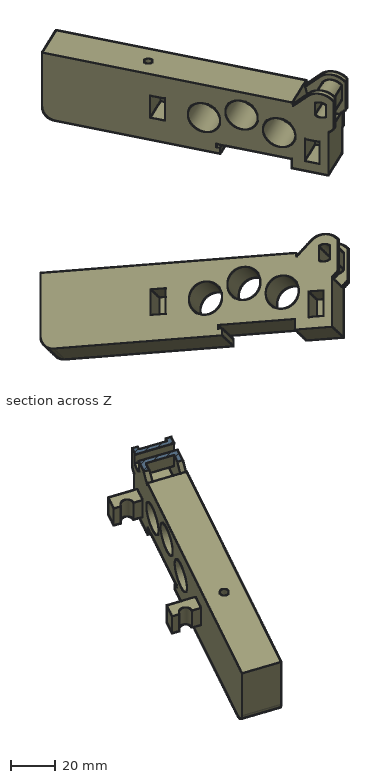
import cadquery as cq
import math

body_length = 137.0
body_height = 36.0
body_width = 19.0
heel_radius = 6.2

recess_start = 85.3
recess_end = 119.5
recess_depth = 5.0
lip_undercut = 2.0
lip_thickness = 3.3

ear_right = 139.5
ear_thickness = 2.8
ear_corner_height = 25.8
hinge_x = 133.3
hinge_z = 35.0
ear_radius = 8.78

ramp_top_x = 119.8
ramp_bottom_x = 123.0
clearance_floor_z = 22.8
floor_bend_x = 126.9
floor_rise_angle = 1.5

bar_width = 9.1
bar_radius = 6.0
slot_width = 5.2
slot_radius = 4.1

hole_diameter = 15.5
hole_centres = [(77.5, 18.1), (95.5, 23.6), (113.5, 18.1)]

pin_diameter = 4.0
pin_x = 47.5
pin_y = body_width / 2
pin_depth = 10.0

hook_width = 7.0
hook_height = 12.0
hook_reach = 14.0
hook_corners = [(51.8, 12.2), (125.8, 5.4)]
notch_radius = 3.0
notch_y = body_width + 7.5
socket_depth = hook_reach


def prism(outline, y_start, y_end):
    """Extrude an XZ workplane outline from y_start to y_end."""
    return outline.extrude(-(y_end - y_start)).translate((0, y_start, 0))


def make_profile():
    """Solid body with the underside recess and the hinge ear outline at full width.

    A 45 degree flank runs tangent from the ear arc down to the clearance ramp.
    """
    diagonal = ear_radius * math.sqrt(0.5)
    tangent_x = hinge_x - diagonal
    tangent_z = hinge_z + diagonal
    ear_edge_z = hinge_z + math.sqrt(ear_radius ** 2 - (ear_right - hinge_x) ** 2)
    ramp_run = (ramp_bottom_x - ramp_top_x) / (body_height - clearance_floor_z)
    flank_offset = tangent_z - tangent_x
    root_x = (ramp_top_x + ramp_run * (body_height - flank_offset)) / (1 + ramp_run)
    root_z = root_x + flank_offset
    outline = (
        cq.Workplane("XZ")
        .moveTo(heel_radius, 0)
        .lineTo(recess_start, 0)
        .lineTo(recess_start, lip_thickness)
        .lineTo(recess_start - lip_undercut, lip_thickness)
        .lineTo(recess_start - lip_undercut, recess_depth)
        .lineTo(recess_end, recess_depth)
        .lineTo(recess_end, 0)
        .lineTo(body_length, 0)
        .lineTo(body_length, ear_corner_height - (ear_right - body_length))
        .lineTo(ear_right, ear_corner_height)
        .lineTo(ear_right, ear_edge_z)
        .threePointArc((hinge_x, hinge_z + ear_radius), (tangent_x, tangent_z))
        .lineTo(root_x, root_z)
        .lineTo(ramp_top_x, body_height)
        .lineTo(0, body_height)
        .lineTo(0, heel_radius)
        .radiusArc((heel_radius, 0), -heel_radius)
        .close()
    )
    return prism(outline, 0, body_width)


def clearance_cut():
    """Space between the ears, open at the top and at the hinge end."""
    top = hinge_z + ear_radius
    floor_rise = (ear_right - floor_bend_x) * math.tan(math.radians(floor_rise_angle))
    outline = cq.Workplane("XZ").polyline([
        (ramp_top_x, body_height),
        (ramp_bottom_x, clearance_floor_z),
        (floor_bend_x, clearance_floor_z),
        (ear_right, clearance_floor_z + floor_rise),
        (ear_right, top),
        (ramp_top_x, top),
    ]).close()
    return prism(outline, ear_thickness, body_width - ear_thickness)


def flat_sided_round(radius, width):
    """Full-width cylinder on the hinge axis, trimmed to two vertical flats."""
    cylinder = prism(cq.Workplane("XZ").center(hinge_x, hinge_z).circle(radius), 0, body_width)
    flats = prism(cq.Workplane("XZ").center(hinge_x, hinge_z).rect(width, 2 * radius), 0, body_width)
    return cylinder.intersect(flats)


def through_holes():
    """Three large round holes through the width."""
    return prism(cq.Workplane("XZ").pushPoints(hole_centres).circle(hole_diameter / 2), 0, body_width)


def hook(x, z):
    """Block on the back face with a round notch in its left side."""
    block = cq.Workplane("XY").box(hook_width, hook_reach, hook_height, centered=False)
    notch = cq.Workplane("XY").circle(notch_radius).extrude(hook_height)
    return block.translate((x, body_width, z)).cut(notch.translate((x, notch_y, z)))


def socket(x, z):
    """Blind rectangular pocket in the front face, sized to take a hook."""
    block = cq.Workplane("XY").box(hook_width, socket_depth, hook_height, centered=False)
    return block.translate((x, 0, z))


def pin_hole():
    """Blind vertical hole in the top face."""
    cylinder = cq.Workplane("XY").circle(pin_diameter / 2).extrude(pin_depth)
    return cylinder.translate((pin_x, pin_y, body_height - pin_depth))


result = make_profile().cut(clearance_cut())
result = result.union(flat_sided_round(bar_radius, bar_width))
result = result.cut(flat_sided_round(slot_radius, slot_width))
result = result.cut(through_holes()).cut(pin_hole())
for corner in hook_corners:
    result = result.cut(socket(*corner)).union(hook(*corner))